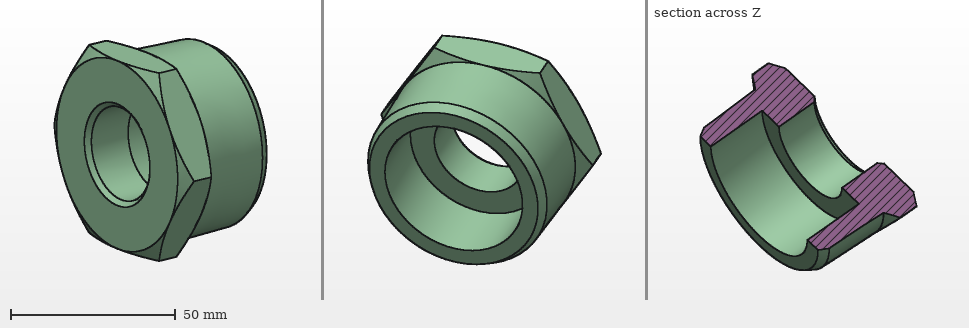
import cadquery as cq
import math

corner_diameter = 69.3
total_length = 36.0
hex_length = 12.0
hex_chamfer_angle = 30.0

plug_base_diameter = 59.9
plug_tip_diameter = 58.6
tip_chamfer_length = 3.0
tip_end_diameter = 55.15

bore_diameter = 29.4
bore_chamfer = 1.5
recess_diameter = 45.0
bore_length = 15.6

corner_radius = corner_diameter / 2
flat_radius = corner_radius * math.cos(math.radians(30))
hex_chamfer_depth = (corner_radius - flat_radius) * math.tan(math.radians(hex_chamfer_angle))


def revolve_about_y(profile):
    """Revolve a closed (radius, Y) profile around the Y axis."""
    return cq.Workplane("XY").polyline(profile).close().revolve(360, (0, 0, 0), (0, 1, 0))


def make_hexagon():
    """Hexagon with corners on X, both ends chamfered down to the flats' inscribed circle."""
    prism = cq.Workplane("XZ").polygon(6, corner_diameter).extrude(-hex_length)
    chamfer_envelope = revolve_about_y([
        (0, 0),
        (flat_radius, 0),
        (corner_radius, hex_chamfer_depth),
        (corner_radius, hex_length - hex_chamfer_depth),
        (flat_radius, hex_length),
        (0, hex_length),
    ])
    return prism.intersect(chamfer_envelope)


def make_plug():
    """Slightly tapered plug with a chamfered tip."""
    return revolve_about_y([
        (0, hex_length),
        (plug_base_diameter / 2, hex_length),
        (plug_tip_diameter / 2, total_length - tip_chamfer_length),
        (tip_end_diameter / 2, total_length),
        (0, total_length),
    ])


def make_bore():
    """Through bore, chamfered at the hexagon face and widened at the plug end."""
    bore_radius = bore_diameter / 2
    recess_radius = recess_diameter / 2
    return revolve_about_y([
        (0, 0),
        (bore_radius + bore_chamfer, 0),
        (bore_radius, bore_chamfer),
        (bore_radius, bore_length),
        (recess_radius, bore_length),
        (recess_radius, total_length),
        (0, total_length),
    ])


result = make_hexagon().union(make_plug()).cut(make_bore())